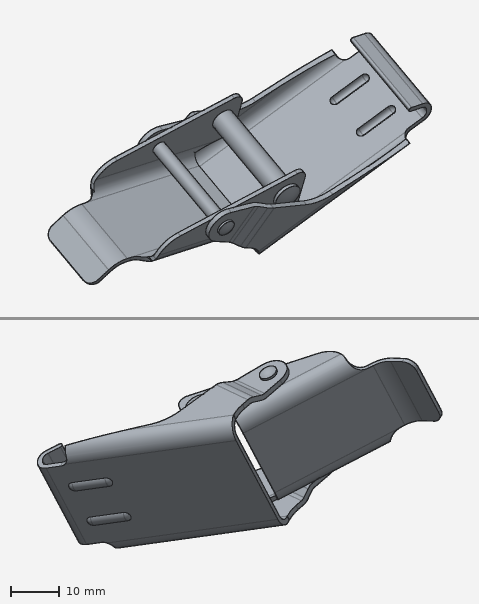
import cadquery as cq
import math


BASE_THICKNESS = 1.2
BASE_HALF_WIDTH = 15.0
BASE_FOLD_RADIUS = 3.75
BASE_TILT = 15.6
BASE_ORIGIN = (8.25, -15.6)
BASE_LENGTH = 38.85
BASE_FAR_HEIGHT = 2.0
BASE_END_HEIGHT = 5.0
BASE_END_RADIUS = 6.7
EAR_RADIUS = 4.1
EAR_TOP_ANGLE = 68.0
EAR_BOTTOM_ANGLE = 231.4
WALL_BROW = (10.9, 0.2)
WALL_VALLEY = (22.2, -6.5)
WALL_VALLEY_RADIUS = 10.0
BASE_RELIEF_RADIUS = 2.0

JOG_LINE_ANGLE = 50.0
JOG_START = -7.9
JOG_END = -5.2
JOG_RADIUS = 1.7

HOOK_HALF_WIDTH = 10.9
HOOK_REACH = 52.85
HOOK_LIP_TIP = (47.35, 2.5)
HOOK_LIP_TILT = 15.0
HOOK_LOWER_RADIUS = 1.5
HOOK_UPPER_RADIUS = 1.7
HOOK_TIP_RADIUS = 0.5

GROOVE_X = 4.9
GROOVE_RADIUS = 1.0
GROOVE_BULGE = 0.5
GROOVE_START = 32.7
GROOVE_END = 40.35

LEVER_THICKNESS = 1.0
LEVER_HALF_WIDTH = 12.25
LEVER_FOLD_RADIUS = 3.75
LEVER_TILT = 16.0
LEVER_ORIGIN = (7.75, -10.2)
LEVER_TOP = 3.2
LEVER_NOSE_TOP_Y = 21.3
LEVER_NOSE_TOP_RADIUS = 2.0
LEVER_NOSE_BOTTOM = (18.4, -8.25)
LEVER_NOSE_BOTTOM_RADIUS = 1.7
LEVER_FLOOR_CORNER = (8.7, -7.8)
LEVER_TAIL_TOP_Y = -14.5
LEVER_TAIL_RADIUS = 6.7
LEVER_LENGTH = 26.0
LEVER_TAIL_HEIGHT = 1.5
LEVER_RELIEF_RADIUS = 3.3

TAB_TIP = (-30.3, -4.4)
TAB_TILT = 28.5
TAB_BEND_RADIUS = 5.2
TAB_CORNER_RADIUS = 2.5

PIVOT_PIN_DIAMETER = 3.1
PIVOT_HEAD = (3.8, 0.5, 0.7)
LINK_PIN_DIAMETER = 5.1
LINK_PIN_CENTRE = (15.8, -1.9)
LINK_HEAD = (6.1, 0.75, 0.75)

REACH = 83.4

EAR_INNER = LEVER_HALF_WIDTH
EAR_OUTER = EAR_INNER + BASE_THICKNESS
TAB_HALF_WIDTH = LEVER_HALF_WIDTH - LEVER_FOLD_RADIUS


def polar(radius, degrees):
    angle = math.radians(degrees)
    return (radius * math.cos(angle), radius * math.sin(angle))


def shifted(point, direction, distance):
    return (point[0] + distance * direction[0], point[1] + distance * direction[1])


def unit(start, end):
    length = math.dist(start, end)
    return ((end[0] - start[0]) / length, (end[1] - start[1]) / length)


def crossing(point_a, tilt_a, point_b, tilt_b):
    """Where two lines, each given by a point and an angle in degrees, cross."""
    ay, az = polar(1, tilt_a)
    by, bz = polar(1, tilt_b)
    gap_y, gap_z = point_b[0] - point_a[0], point_b[1] - point_a[1]
    return shifted(point_a, (ay, az), (gap_y * bz - gap_z * by) / (ay * bz - az * by))


def rounded_outline(plane, corners):
    """Closed outline through (point, radius) corners; radius 0 keeps a corner sharp."""
    path = cq.Workplane(plane)
    for i, (corner, radius) in enumerate(corners):
        to_previous = unit(corner, corners[i - 1][0])
        to_next = unit(corner, corners[(i + 1) % len(corners)][0])
        cosine = to_previous[0] * to_next[0] + to_previous[1] * to_next[1]
        half_angle = math.acos(cosine) / 2
        setback = radius / math.tan(half_angle)
        start = shifted(corner, to_previous, setback)
        path = path.lineTo(*start) if i else path.moveTo(*start)
        if radius:
            end = shifted(corner, to_next, setback)
            bisector = unit((0, 0), (to_previous[0] + to_next[0], to_previous[1] + to_next[1]))
            middle = shifted(corner, bisector, radius / math.sin(half_angle) - radius)
            path = path.threePointArc(middle, end)
    return path.close()


def bent_sheet_outline(plane, points, bend_radii, thickness, tip_radius=0.0):
    """Edge outline of a sheet whose middle follows `points`, with an inside radius at each bend."""
    left, right = [], []
    for i, point in enumerate(points):
        before = unit(points[max(i - 1, 0)], points[max(i, 1)])
        after = unit(points[min(i, len(points) - 2)], points[min(i + 1, len(points) - 1)])
        scale = thickness / 2 / (1 + before[0] * after[0] + before[1] * after[1])
        mitre = (-(before[1] + after[1]) * scale, (before[0] + after[0]) * scale)
        turn = before[0] * after[1] - before[1] * after[0]
        left_radius = right_radius = 0.0
        if 0 < i < len(points) - 1:
            inside = bend_radii[i - 1]
            left_radius = inside if turn > 0 else inside + thickness
            right_radius = inside + thickness if turn > 0 else inside
        elif i == len(points) - 1:
            left_radius = right_radius = tip_radius
        left.append((shifted(point, mitre, 1), left_radius))
        right.append((shifted(point, mitre, -1), right_radius))
    return rounded_outline(plane, left + right[::-1])


def channel(plane, half_width, fold_radius, thickness, wall_height, length):
    """A U-section whose floor underside is on the plane's local X axis."""
    inner = half_width - thickness
    inner_radius = fold_radius - thickness
    corners = [
        ((-half_width, wall_height), 0),
        ((-half_width, 0), fold_radius),
        ((half_width, 0), fold_radius),
        ((half_width, wall_height), 0),
        ((inner, wall_height), 0),
        ((inner, thickness), inner_radius),
        ((-inner, thickness), inner_radius),
        ((-inner, wall_height), 0),
    ]
    return rounded_outline(plane, corners).extrude(length)


def relief_cuts(plane, half_width, start, radius):
    """Removes both sides beyond `start`, leaving a tongue with a concave fillet at its root."""
    cuts = cq.Workplane()
    for side in (-1, 1):
        corners = [
            ((side * half_width, start), radius),
            ((side * REACH, start), 0),
            ((side * REACH, start + REACH), 0),
            ((side * half_width, start + REACH), 0),
        ]
        cuts = cuts.add(rounded_outline(plane, corners).extrude(REACH / 2, both=True))
    return cuts.combine()


def cross_hole(diameter, centre):
    return cq.Workplane("YZ").center(*centre).circle(diameter / 2).extrude(REACH, both=True)


BASE_COS, BASE_SIN = polar(1, BASE_TILT)
LEVER_COS, LEVER_SIN = polar(1, LEVER_TILT)
base_start = (0, *BASE_ORIGIN)
base_section = cq.Plane(base_start, (-1, 0, 0), (0, BASE_COS, BASE_SIN))
base_plan = cq.Plane(base_start, (1, 0, 0), (0, -BASE_SIN, BASE_COS))
lever_start = (0, *LEVER_ORIGIN)
lever_section = cq.Plane(lever_start, (1, 0, 0), (0, -LEVER_COS, LEVER_SIN))
lever_plan = cq.Plane(lever_start, (-1, 0, 0), (0, LEVER_SIN, LEVER_COS))


def on_base(along, height):
    return shifted(shifted(BASE_ORIGIN, (BASE_COS, BASE_SIN), along), (-BASE_SIN, BASE_COS), height)


def on_lever(along, height):
    return shifted(shifted(LEVER_ORIGIN, (-LEVER_COS, LEVER_SIN), along), (LEVER_SIN, LEVER_COS), height)


def base_side_shape():
    corners = [
        (on_base(0, 0), 0),
        (on_base(0, BASE_END_HEIGHT), BASE_END_RADIUS),
        (polar(EAR_RADIUS, EAR_BOTTOM_ANGLE), 0),
        (polar(EAR_RADIUS, EAR_TOP_ANGLE), 0),
        (WALL_BROW, 0),
        (WALL_VALLEY, WALL_VALLEY_RADIUS),
        (on_base(BASE_LENGTH, BASE_FAR_HEIGHT), 0),
        (on_base(BASE_LENGTH + BASE_RELIEF_RADIUS, BASE_FAR_HEIGHT), 0),
        (on_base(BASE_LENGTH + BASE_RELIEF_RADIUS, 0), 0),
    ]
    wall = rounded_outline("YZ", corners).extrude(REACH, both=True)
    ear = cq.Workplane("YZ").circle(EAR_RADIUS).extrude(REACH, both=True)
    return wall.union(ear)


def jogged_walls():
    along_bend = polar(1, JOG_LINE_ANGLE)
    plane = cq.Plane((0, 0, 0), (0, -along_bend[1], along_bend[0]), (0, *along_bend))
    wall_middle = BASE_HALF_WIDTH - BASE_THICKNESS / 2
    ear_middle = EAR_INNER + BASE_THICKNESS / 2
    path = [
        (-REACH, wall_middle),
        (JOG_START, wall_middle),
        (JOG_END, ear_middle),
        (REACH, ear_middle),
    ]
    outline = bent_sheet_outline(plane, path, [JOG_RADIUS, JOG_RADIUS], BASE_THICKNESS)
    above_fold = (
        cq.Workplane(base_plan)
        .workplane(offset=BASE_FOLD_RADIUS)
        .rect(2 * REACH, 2 * REACH)
        .extrude(REACH)
    )
    wall = outline.extrude(REACH, both=True).intersect(above_fold)
    return wall.union(wall.mirror("YZ"))


def hook():
    root = on_base(BASE_LENGTH, BASE_THICKNESS / 2)
    back = (HOOK_REACH - BASE_THICKNESS / 2, 0)
    path = [
        root,
        crossing(root, BASE_TILT, back, 90),
        crossing(HOOK_LIP_TIP, -HOOK_LIP_TILT, back, 90),
        HOOK_LIP_TIP,
    ]
    radii = [HOOK_LOWER_RADIUS, HOOK_UPPER_RADIUS]
    outline = bent_sheet_outline("YZ", path, radii, BASE_THICKNESS, HOOK_TIP_RADIUS)
    return outline.extrude(HOOK_HALF_WIDTH, both=True)


def groove_rods(radius):
    """A round-ended rod along each groove, centred on the top face of the floor."""
    rods = cq.Workplane()
    for x in (-GROOVE_X, GROOVE_X):
        start = cq.Workplane(base_section).workplane(offset=GROOVE_START).center(x, BASE_THICKNESS)
        end = cq.Workplane(base_section).workplane(offset=GROOVE_END).center(x, BASE_THICKNESS)
        rod = start.circle(radius).extrude(GROOVE_END - GROOVE_START)
        rods = rods.add(rod.union(start.sphere(radius)).union(end.sphere(radius)))
    return rods.combine()


def pressed_bulges():
    """The metal pushed out under each groove, filling the floor up to its top face."""
    below_floor_top = (
        cq.Workplane(base_plan)
        .workplane(offset=BASE_THICKNESS)
        .rect(2 * REACH, 2 * REACH)
        .extrude(-REACH)
    )
    return groove_rods(BASE_THICKNESS + GROOVE_BULGE).intersect(below_floor_top)


def make_base():
    trough = channel(
        base_section,
        BASE_HALF_WIDTH,
        BASE_FOLD_RADIUS,
        BASE_THICKNESS,
        BASE_END_HEIGHT,
        BASE_LENGTH + BASE_RELIEF_RADIUS,
    )
    base = trough.union(jogged_walls()).intersect(base_side_shape())
    base = base.cut(relief_cuts(base_plan, HOOK_HALF_WIDTH, BASE_LENGTH, BASE_RELIEF_RADIUS))
    base = base.union(hook()).union(pressed_bulges())
    base = base.cut(groove_rods(GROOVE_RADIUS))
    return base.cut(cross_hole(PIVOT_PIN_DIAMETER, (0, 0)))


def lever_side_shape():
    corners = [
        (on_lever(0, 0), 0),
        (LEVER_FLOOR_CORNER, 0),
        (LEVER_NOSE_BOTTOM, LEVER_NOSE_BOTTOM_RADIUS),
        ((LEVER_NOSE_TOP_Y, LEVER_TOP), LEVER_NOSE_TOP_RADIUS),
        ((LEVER_TAIL_TOP_Y, LEVER_TOP), LEVER_TAIL_RADIUS),
        (on_lever(LEVER_LENGTH, LEVER_TAIL_HEIGHT), 0),
        (on_lever(LEVER_LENGTH + LEVER_RELIEF_RADIUS, LEVER_TAIL_HEIGHT), 0),
        (on_lever(LEVER_LENGTH + LEVER_RELIEF_RADIUS, 0), 0),
    ]
    return rounded_outline("YZ", corners).extrude(REACH, both=True)


def finger_tab():
    root = on_lever(LEVER_LENGTH, LEVER_THICKNESS / 2)
    path = [root, crossing(root, -LEVER_TILT, TAB_TIP, TAB_TILT), TAB_TIP]
    outline = bent_sheet_outline("YZ", path, [TAB_BEND_RADIUS], LEVER_THICKNESS)
    tab = outline.extrude(TAB_HALF_WIDTH, both=True)
    for x in (-TAB_HALF_WIDTH, TAB_HALF_WIDTH):
        tip_corner = cq.NearestToPointSelector((x, *TAB_TIP))
        tab = tab.edges(tip_corner).fillet(TAB_CORNER_RADIUS)
    return tab


def make_lever():
    trough_start = lever_section.origin - lever_section.zDir * REACH
    trough = channel(
        cq.Plane(trough_start, lever_section.xDir, lever_section.zDir),
        LEVER_HALF_WIDTH,
        LEVER_FOLD_RADIUS,
        LEVER_THICKNESS,
        REACH,
        2 * REACH,
    )
    lever = trough.intersect(lever_side_shape())
    lever = lever.cut(relief_cuts(lever_plan, TAB_HALF_WIDTH, LEVER_LENGTH, LEVER_RELIEF_RADIUS))
    lever = lever.union(finger_tab())
    lever = lever.cut(cross_hole(PIVOT_PIN_DIAMETER, (0, 0)))
    return lever.cut(cross_hole(LINK_PIN_DIAMETER, LINK_PIN_CENTRE))


def make_pin(diameter, seat, head):
    """A pin along X with a rimmed, domed head outside each seat, at x = -seat and x = seat."""
    head_diameter, rim, dome = head
    head_radius = head_diameter / 2
    tip = seat + rim + dome
    sphere_radius = (head_radius**2 + dome**2) / (2 * dome)
    dome_middle_height = head_radius / 2
    dome_middle = tip - sphere_radius + math.sqrt(sphere_radius**2 - dome_middle_height**2)
    return (
        cq.Workplane("XY")
        .moveTo(-tip, 0)
        .threePointArc((-dome_middle, dome_middle_height), (-seat - rim, head_radius))
        .lineTo(-seat, head_radius)
        .lineTo(-seat, diameter / 2)
        .lineTo(seat, diameter / 2)
        .lineTo(seat, head_radius)
        .lineTo(seat + rim, head_radius)
        .threePointArc((dome_middle, dome_middle_height), (tip, 0))
        .close()
        .revolve(360, (0, 0, 0), (1, 0, 0))
    )


base = make_base()
lever = make_lever()
pivot_pin = make_pin(PIVOT_PIN_DIAMETER, EAR_OUTER, PIVOT_HEAD)
link_pin = make_pin(LINK_PIN_DIAMETER, LEVER_HALF_WIDTH, LINK_HEAD).translate((0, *LINK_PIN_CENTRE))

bodies = [base, lever, pivot_pin, link_pin]
result = cq.Compound.makeCompound([body.solids().val() for body in bodies])